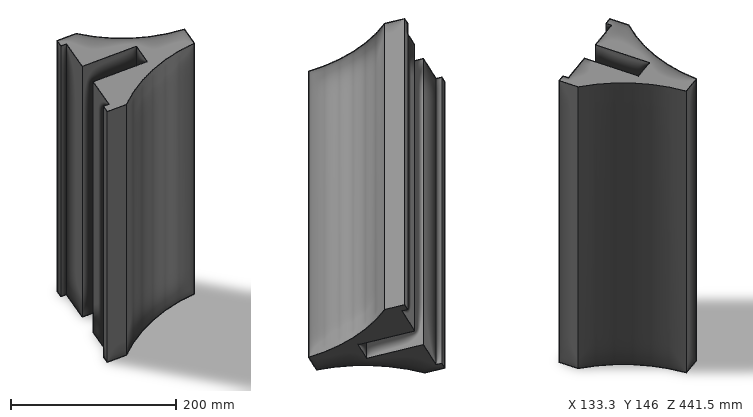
import cadquery as cq
import math

length = 441.5
width = 133.3
depth = 146.0

nose_width = 26.5
side_height = 26.0
slot_width = 28.5
slot_top = 81.0
lip_width = 10.0
lip_height = 7.5
flank_radius = 194.0

half_width = width / 2
half_nose = nose_width / 2
half_slot = slot_width / 2
recess_edge = half_width - lip_width


def flank_midpoint():
    """Middle of the concave arc on the +X flank, bowed toward the centre plane."""
    run = half_width - half_nose
    rise = depth - side_height
    chord = math.hypot(run, rise)
    sagitta = flank_radius - math.sqrt(flank_radius**2 - (chord / 2) ** 2)
    x = (half_width + half_nose) / 2 - sagitta * rise / chord
    y = (side_height + depth) / 2 - sagitta * run / chord
    return x, y


mid_x, mid_y = flank_midpoint()

half_body = (
    cq.Workplane("XY")
    .moveTo(0, slot_top)
    .lineTo(half_slot, slot_top)
    .lineTo(half_slot, lip_height)
    .lineTo(recess_edge, lip_height)
    .lineTo(recess_edge, 0)
    .lineTo(half_width, 0)
    .lineTo(half_width, side_height)
    .threePointArc((mid_x, mid_y), (half_nose, depth))
    .lineTo(0, depth)
    .close()
    .extrude(length)
)

result = half_body.union(half_body.mirror("YZ")).clean()